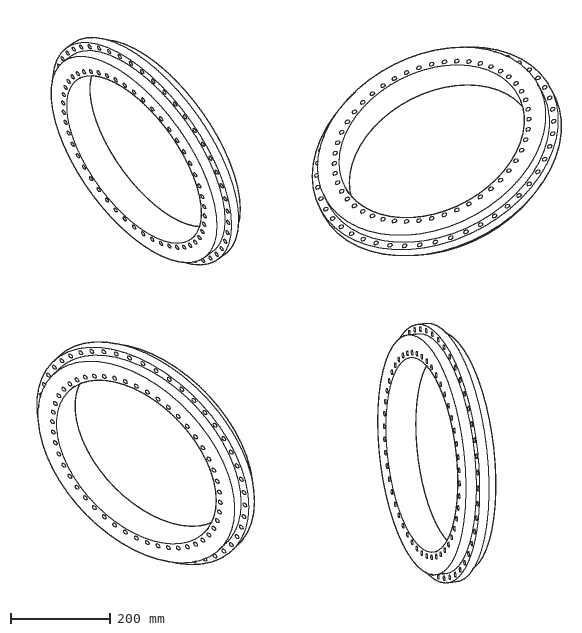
import cadquery as cq

outer_diameter = 525.0
body_diameter = 487.0
bore_diameter = 395.0
total_width = 65.0

flange_width = 20.0
flange_front_offset = 22.5

flange_hole_circle = 505.0
body_hole_circle = 415.0
hole_diameter = 9.3
hole_count = 48

front_face = -total_width / 2


def disc(diameter, y_start, width):
    """Solid disc about the Y axis, growing toward +Y from y_start."""
    plane = cq.Workplane("XZ", origin=(0, y_start, 0))
    return plane.circle(diameter / 2).extrude(-width)


def hole_ring(circle_diameter):
    """Evenly spaced cylinders through the full width, the first on +X."""
    plane = cq.Workplane("XZ", origin=(0, front_face, 0))
    centres = plane.polarArray(circle_diameter / 2, 0, 360, hole_count)
    return centres.circle(hole_diameter / 2).extrude(-total_width)


body = disc(body_diameter, front_face, total_width)
flange = disc(outer_diameter, front_face + flange_front_offset, flange_width)
bore = disc(bore_diameter, front_face, total_width)

ring = body.union(flange).cut(bore)
result = ring.cut(hole_ring(flange_hole_circle)).cut(hole_ring(body_hole_circle))